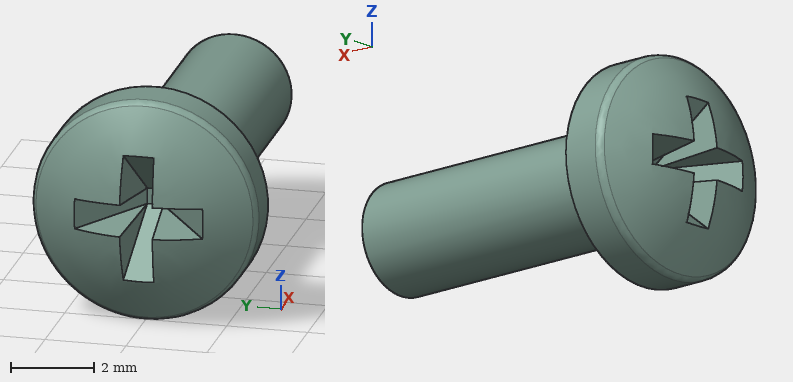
import cadquery as cq
import math

overall_length = 9.93
head_height = 2.03
head_radius = 2.78
shank_radius = 1.42
dome_radius = 4.55
edge_fillet = 0.25

recess_depth = 2.0
floor_half_width = 0.2
mouth_half_width = 0.41
arm_reach = 1.59


def dome_drop(radius):
    """Axial distance from the dome apex down to the dome surface at a radius."""
    return dome_radius - math.sqrt(dome_radius**2 - radius**2)


mouth_drop = dome_drop(mouth_half_width * math.sqrt(2))
shank_length = overall_length - head_height + mouth_drop

tip_drop = dome_drop(arm_reach)
end_slope = (arm_reach - floor_half_width) / (recess_depth - tip_drop)
mouth_half_length = floor_half_width + end_slope * recess_depth


def make_head():
    rim_x = -head_height + dome_drop(head_radius)
    mid_radius = head_radius / 2
    mid_x = -head_height + dome_drop(mid_radius)
    head = (
        cq.Workplane("XY")
        .moveTo(-head_height, 0)
        .threePointArc((mid_x, mid_radius), (rim_x, head_radius))
        .lineTo(0, head_radius)
        .lineTo(0, 0)
        .close()
        .revolve(360, (0, 0, 0), (1, 0, 0))
    )
    rim = cq.selectors.BoxSelector(
        (rim_x - 0.01, -head_radius - 0.1, -head_radius - 0.1),
        (rim_x + 0.01, head_radius + 0.1, head_radius + 0.1),
        boundingbox=True,
    )
    return head.edges(rim).fillet(edge_fillet)


def make_recess_slot(half_y, half_z):
    """One tapered bar of the cross, from its mouth rectangle to the square floor."""
    return (
        cq.Workplane("YZ", origin=(-head_height, 0, 0))
        .rect(2 * half_y, 2 * half_z)
        .workplane(offset=recess_depth)
        .rect(2 * floor_half_width, 2 * floor_half_width)
        .loft(ruled=True)
    )


shank = cq.Workplane("YZ").circle(shank_radius).extrude(shank_length)
slot_y = make_recess_slot(mouth_half_length, mouth_half_width)
slot_z = make_recess_slot(mouth_half_width, mouth_half_length)

result = make_head().union(shank).cut(slot_y).cut(slot_z)